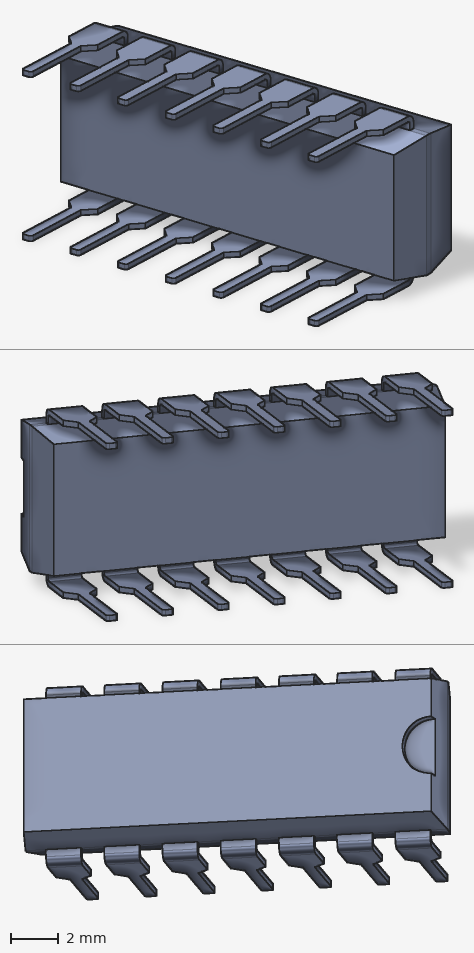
import cadquery as cq


body_length = 18.1
body_width = 6.4
body_depth = 4.02
band_depth = 0.29
end_inset = 0.3
side_inset = 0.33

notch_radius = 1.23
notch_depth = 0.5

leads_per_row = 7
lead_pitch = 2.5
row_offset = -0.07
row_span = 7.76
lead_thickness = 0.25
bend_radius = 0.13
shoulder_width = 1.5
pin_width = 0.5
pin_length = 3.5
flare_length = (shoulder_width - pin_width) / 2
tip_radius = 0.13
lead_anchor = 0.65
tip_to_far_face = 8.0

half_depth = body_depth / 2
far_face_y = half_depth
tip_y = far_face_y - tip_to_far_face
pin_start_y = tip_y + pin_length
shoulder_end_y = pin_start_y + flare_length
half_thickness = lead_thickness / 2
outer_z = row_span / 2
inner_z = outer_z - lead_thickness
root_z = body_width / 2 - lead_anchor


def sketch_across_y(y):
    """Workplane at the given Y, with its first axis along X and its normal toward +Y."""
    return cq.Workplane(cq.Plane(origin=(0, y, 0), xDir=(1, 0, 0), normal=(0, 1, 0)))


def tapered_half(side):
    """Tapered half of the body, on the +Y (side = 1) or -Y (side = -1) side of the band."""
    taper_depth = half_depth - band_depth / 2
    return (
        sketch_across_y(side * band_depth / 2)
        .rect(body_length, body_width)
        .workplane(offset=side * taper_depth)
        .rect(body_length - 2 * end_inset, body_width - 2 * side_inset)
        .loft(ruled=True)
    )


def make_body():
    band = cq.Workplane("XY").box(body_length, band_depth, body_width)
    notch = (
        sketch_across_y(far_face_y - notch_depth)
        .center(end_inset - body_length / 2, 0)
        .circle(notch_radius)
        .extrude(notch_depth)
    )
    return band.union(tapered_half(1)).union(tapered_half(-1)).cut(notch)


def make_lead():
    """Upper-row lead centred on X = 0: a bent strip trimmed to the shoulder, flare and pin outline."""
    strip = (
        cq.Workplane("YZ")
        .moveTo(half_thickness, root_z)
        .lineTo(half_thickness, outer_z)
        .lineTo(tip_y, outer_z)
        .lineTo(tip_y, inner_z)
        .lineTo(-half_thickness, inner_z)
        .lineTo(-half_thickness, root_z)
        .close()
        .extrude(shoulder_width / 2, both=True)
    )
    outer_corner = cq.selectors.NearestToPointSelector((0, half_thickness, outer_z))
    inner_corner = cq.selectors.NearestToPointSelector((0, -half_thickness, inner_z))
    strip = strip.edges(outer_corner).fillet(bend_radius + lead_thickness)
    strip = strip.edges(inner_corner).fillet(bend_radius)

    outline = (
        cq.Workplane("XY")
        .moveTo(-shoulder_width / 2, half_thickness)
        .lineTo(-shoulder_width / 2, shoulder_end_y)
        .lineTo(-pin_width / 2, pin_start_y)
        .lineTo(-pin_width / 2, tip_y)
        .lineTo(pin_width / 2, tip_y)
        .lineTo(pin_width / 2, pin_start_y)
        .lineTo(shoulder_width / 2, shoulder_end_y)
        .lineTo(shoulder_width / 2, half_thickness)
        .close()
        .extrude(outer_z)
        .faces("<Y")
        .edges("|Z")
        .fillet(tip_radius)
    )
    return strip.intersect(outline)


result = make_body()
upper_lead = make_lead()
lower_lead = upper_lead.mirror("XY")
for index in range(leads_per_row):
    lead_x = row_offset + (index - (leads_per_row - 1) / 2) * lead_pitch
    for lead in (upper_lead, lower_lead):
        result = result.union(lead.translate((lead_x, 0, 0)))